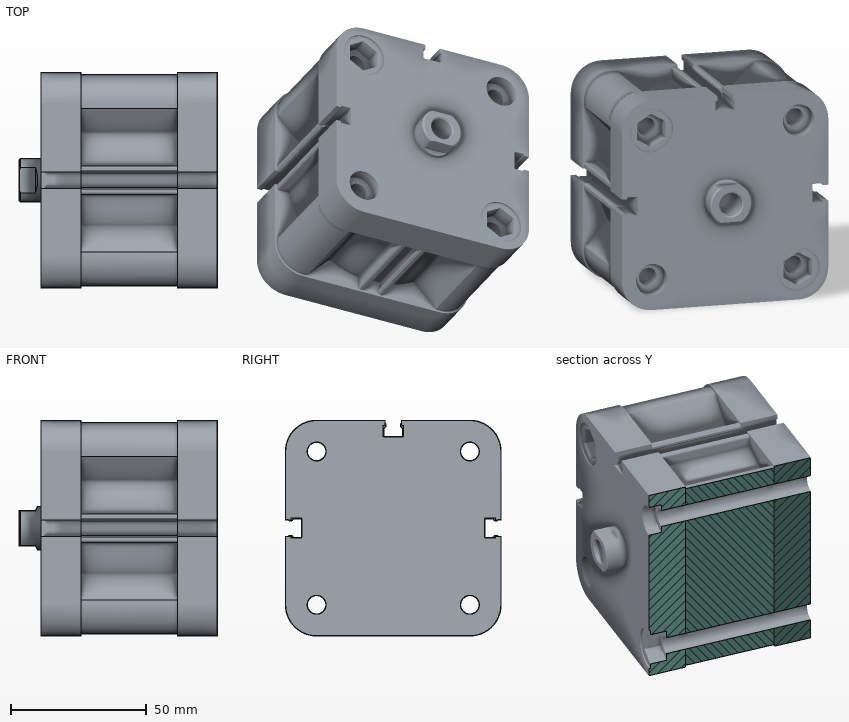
import cadquery as cq
import math

cap_length = 14.75
barrel_length = 35.5
barrel_start = cap_length

cap_width = 79.5
cap_half = cap_width / 2
bolt_offset = 28.25
cap_corner_radius = cap_half - bolt_offset

barrel_inset = 0.75
barrel_half = cap_half - barrel_inset
core_radius = 34.3
column_radius = barrel_half - bolt_offset
web_half_width = 8.75
web_fillet = 1.1

spine_half_width = 5.25
spine_round = 0.85
spine_root_fillet = 0.9

slot_depth = 6.0
slot_floor = cap_half - slot_depth
cap_mouth_half = 3.0
cap_undercut_half = 3.7
cap_lip_depth = 2.0
barrel_mouth_half = 2.63
barrel_mouth_chamfer = 0.7
barrel_undercut_half = 3.45
barrel_lip_thickness = 1.5
slot_overcut = 2.0
bottom_turn = 2

bolt_hole_diameter = 6.8
counterbore_diameter = 12.0
counterbore_depth = 5.0

screw_recess_diameter = 16.5
screw_recess_depth = 0.6
hex_across_flats = 11.0
hex_depth = 6.4

rod_diameter = 16.0
rod_radius = rod_diameter / 2
rod_projection = 8.0
rod_length = rod_projection + cap_length
rod_tip_chamfer = 0.5
flat_half = 6.5
flat_length = 6.0
flat_runout = 0.75
thread_diameter = 8.5
thread_mouth_diameter = 9.5
thread_mouth_chamfer = (thread_mouth_diameter - thread_diameter) / 2
thread_depth = 15.0
drill_half_angle = math.radians(59)

tolerance = 0.01

screw_corners = [(bolt_offset, bolt_offset), (-bolt_offset, -bolt_offset)]
counterbored_corners = [(bolt_offset, -bolt_offset), (-bolt_offset, bolt_offset)]
all_corners = screw_corners + counterbored_corners


def section(x):
    """Workplane across the axis at the given X, with local axes along +Y and +Z."""
    return cq.Workplane("YZ", origin=(x, 0, 0))


def mirrored_outline(half_points):
    """Close a half outline by its mirror image about the local vertical axis."""
    return half_points + [(-y, z) for y, z in reversed(half_points)]


def on_each_side(shape):
    """Four copies of the shape, one per quarter turn about the X axis."""
    return [shape.rotate((0, 0, 0), (1, 0, 0), 90 * turn) for turn in range(4)]


def drill(body, x, length, diameter, corners):
    """Cut round holes of the given length at the given corners, starting at X."""
    return body.cut(section(x).pushPoints(corners).circle(diameter / 2).extrude(length))


def make_cap(x):
    cap = section(x).rect(cap_width, cap_width).extrude(cap_length)
    cap = cap.edges("|X").fillet(cap_corner_radius)
    lip_bottom = cap_half - cap_lip_depth
    slot_points = mirrored_outline([
        (cap_mouth_half, cap_half + slot_overcut),
        (cap_mouth_half, lip_bottom),
        (cap_undercut_half, lip_bottom),
        (cap_undercut_half, slot_floor),
    ])
    slot = section(x).polyline(slot_points).close().extrude(cap_length)
    for turn, cutter in enumerate(on_each_side(slot)):
        if turn != bottom_turn:
            cap = cap.cut(cutter)
    return cap


def make_core_and_columns():
    """Round core with a web along each diagonal, ending in an arc around the corner bolt."""
    barrel = section(barrel_start).circle(core_radius).extrude(barrel_length)
    bolt_distance = bolt_offset * math.sqrt(2)
    arc_start = bolt_distance + math.sqrt(column_radius**2 - web_half_width**2)
    column = (
        section(barrel_start)
        .moveTo(-web_half_width, 0)
        .lineTo(-web_half_width, arc_start)
        .threePointArc((0, bolt_distance + column_radius), (web_half_width, arc_start))
        .lineTo(web_half_width, 0)
        .close()
        .extrude(barrel_length)
        .rotate((0, 0, 0), (1, 0, 0), 45)
    )
    for copy in on_each_side(column):
        barrel = barrel.union(copy)
    return barrel


def make_spine():
    spine_base = core_radius / 2
    spine = (
        section(barrel_start)
        .center(0, (barrel_half + spine_base) / 2)
        .rect(2 * spine_half_width, barrel_half - spine_base)
        .extrude(barrel_length)
    )
    return spine.edges("|X and >Z").fillet(spine_round)


def make_barrel_slot():
    lip_bottom = barrel_half - barrel_lip_thickness
    undercut_step = barrel_undercut_half - barrel_mouth_half
    slot_points = mirrored_outline([
        (barrel_mouth_half + barrel_mouth_chamfer, barrel_half),
        (barrel_mouth_half, barrel_half - barrel_mouth_chamfer),
        (barrel_mouth_half, lip_bottom),
        (barrel_undercut_half, lip_bottom - undercut_step),
        (barrel_undercut_half, slot_floor),
    ])
    return section(barrel_start).polyline(slot_points).close().extrude(barrel_length)


def fillet_core_corners(barrel, radius, least_offset, most_offset):
    """Fillet the inside corners on the core surface that lie between two offsets from a mid-plane."""
    def is_inside_corner(edge):
        center = edge.Center()
        offset = min(abs(center.y), abs(center.z))
        on_core = abs(math.hypot(center.y, center.z) - core_radius) < tolerance
        return on_core and least_offset < offset < most_offset

    return barrel.edges("|X").filter(is_inside_corner).fillet(radius)


def make_barrel():
    barrel = make_core_and_columns()
    barrel = fillet_core_corners(barrel, web_fillet, spine_half_width, core_radius)
    for copy in on_each_side(make_spine()):
        barrel = barrel.union(copy)
    barrel = fillet_core_corners(
        barrel, spine_root_fillet, spine_half_width - tolerance, spine_half_width + tolerance
    )
    for copy in on_each_side(make_barrel_slot()):
        barrel = barrel.cut(copy)
    return drill(barrel, barrel_start, barrel_length, bolt_hole_diameter, all_corners)


def make_front_cap():
    cap = make_cap(0)
    cap = drill(cap, 0, cap_length, bolt_hole_diameter, all_corners)
    cap = drill(cap, 0, counterbore_depth, counterbore_diameter, counterbored_corners)
    cap = drill(cap, 0, screw_recess_depth, screw_recess_diameter, screw_corners)
    hex_across_corners = hex_across_flats / math.cos(math.pi / 6)
    for y, z in screw_corners:
        socket = (
            cq.Workplane(cq.Plane(origin=(screw_recess_depth, y, z), xDir=(0, 0, 1), normal=(1, 0, 0)))
            .polygon(6, hex_across_corners)
            .extrude(hex_depth)
        )
        cap = cap.cut(socket)
    return cap.cut(section(0).circle(rod_radius).extrude(cap_length))


def make_rear_cap():
    start = barrel_start + barrel_length
    return drill(make_cap(start), start, cap_length, bolt_hole_diameter, all_corners)


def make_rod():
    tip = -rod_projection
    rod = section(tip).circle(rod_radius).extrude(rod_length)
    rod = rod.faces("<X").edges().chamfer(rod_tip_chamfer)
    flat_end = tip + flat_length
    for side in (1, -1):
        flat = (
            cq.Workplane("XZ", origin=(0, rod_radius, 0))
            .polyline([
                (tip, side * flat_half),
                (flat_end, side * flat_half),
                (flat_end + flat_runout, side * rod_radius),
                (tip, side * rod_radius),
            ])
            .close()
            .extrude(rod_diameter)
        )
        rod = rod.cut(flat)
    thread_radius = thread_diameter / 2
    bore = (
        cq.Workplane("XY")
        .polyline([
            (tip, 0),
            (tip, thread_mouth_diameter / 2),
            (tip + thread_mouth_chamfer, thread_radius),
            (tip + thread_depth, thread_radius),
            (tip + thread_depth + thread_radius / math.tan(drill_half_angle), 0),
        ])
        .close()
        .revolve(360, (0, 0, 0), (1, 0, 0))
    )
    return rod.cut(bore)


front_cap = make_front_cap()
barrel = make_barrel()
rear_cap = make_rear_cap()
rod = make_rod()

result = cq.Compound.makeCompound([
    front_cap.val(),
    barrel.val(),
    rear_cap.val(),
    rod.val(),
])